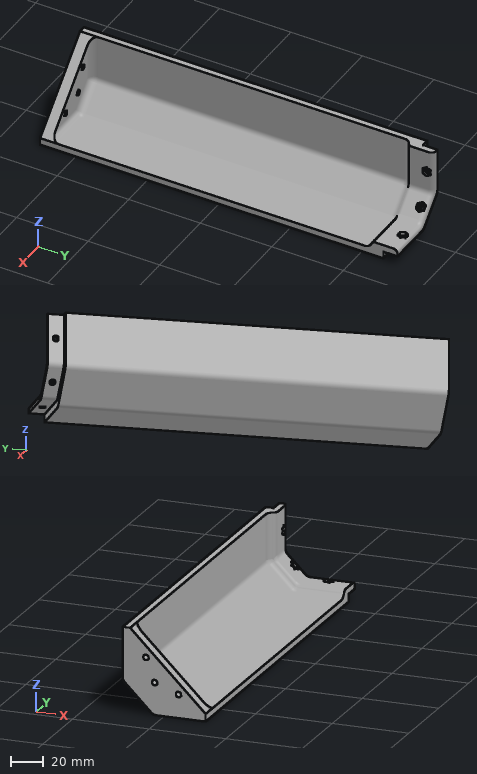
import cadquery as cq
import math

LENGTH = 250
SIDE = 54.2
CORNER_CUT = 20.0
WALL = 5.0
BEND_RADIUS = 5.0

PLATE = 8.0
PLATE_FILLET = 5.0

TONGUE = 10.0
JOGGLE_START = 227.0
JOGGLE_HOLLOW_RADIUS = 5.0
JOGGLE_CREST_RADIUS = 3.2
END_FILLET = 3.2

PLATE_HOLE = 3.5
PLATE_HOLE_CENTRE = 21.0
PLATE_HOLE_NEAR = 15.2
PLATE_HOLE_FAR = 36.5

SCREW_HOLE = 3.5
SCREW_POSITION = 39.0
NUT_WIDTH = 5.5
NUT_DEPTH = 2.5

EDGE_TOLERANCE = 1.0

SLOPE = math.sqrt(0.5)
STEPPED_FACE = 2 * WALL
RIM_SUM = SIDE + WALL
CLEAR = 2 * SIDE
SCREW_Y = LENGTH - TONGUE / 2


def wall_plane(x, z, inward_x, inward_z):
    """Plane along a wall: local x is Y, local y points into the trough from the outer face."""
    return cq.Plane(origin=(x, 0, z), xDir=(0, 1, 0), normal=(inward_z, 0, -inward_x))


WALL_PLANES = [
    wall_plane(SCREW_POSITION, 0, 0, 1),
    wall_plane(0, SCREW_POSITION, 1, 0),
    wall_plane(CORNER_CUT / 2, CORNER_CUT / 2, SLOPE, SLOPE),
]


def wall_depth(x, z):
    """Distance of a point from the nearest outer face."""
    return min(x, z, (x + z - CORNER_CUT) * SLOPE)


def inner_edges(edges, depth):
    """Edges of a chain that follows the inner faces lying at the given depth."""
    return edges.filter(lambda e: abs(wall_depth(e.Center().x, e.Center().z) - depth) < EDGE_TOLERANCE)


def outer_block(inset, y_start, y_end):
    """Square block with a sloped, rounded corner; its three outer faces are moved in by inset."""
    corner = CORNER_CUT + inset * (math.sqrt(2) - 1)
    return (
        cq.Workplane("XZ", origin=(0, y_start, 0))
        .moveTo(corner, inset)
        .lineTo(SIDE, inset)
        .lineTo(SIDE, SIDE)
        .lineTo(inset, SIDE)
        .lineTo(inset, corner)
        .close()
        .extrude(y_start - y_end)
        .edges("|Y")
        .filter(lambda e: e.Center().x + e.Center().z < SIDE)
        .fillet(BEND_RADIUS)
    )


def cavity_side(plane):
    """Everything above the inner face of one wall, including its S-shaped joggle."""
    hollow = JOGGLE_HOLLOW_RADIUS
    crest = JOGGLE_CREST_RADIUS
    angle = math.acos(1 - (STEPPED_FACE - WALL) / (hollow + crest))
    run = math.sin(angle)
    rise = 1 - math.cos(angle)
    half_run = math.sin(angle / 2)
    half_rise = 1 - math.cos(angle / 2)
    joggle_end = JOGGLE_START + (hollow + crest) * run
    hollow_middle = (JOGGLE_START + hollow * half_run, WALL + hollow * half_rise)
    turn = (JOGGLE_START + hollow * run, WALL + hollow * rise)
    crest_middle = (joggle_end - crest * half_run, STEPPED_FACE - crest * half_rise)
    return (
        cq.Workplane(plane)
        .moveTo(PLATE, WALL)
        .lineTo(JOGGLE_START, WALL)
        .threePointArc(hollow_middle, turn)
        .threePointArc(crest_middle, (joggle_end, STEPPED_FACE))
        .lineTo(LENGTH, STEPPED_FACE)
        .lineTo(LENGTH, CLEAR)
        .lineTo(PLATE, CLEAR)
        .close()
        .extrude(CLEAR, both=True)
    )


def is_bend(edge):
    """True for the edges along Y where the sloped inner face meets its neighbours."""
    centre = edge.Center()
    return edge.BoundingBox().ylen > EDGE_TOLERANCE and centre.x + centre.z < SIDE


def cavity():
    """Inside of the trough, with rounded bends and a rounded foot at the end plate."""
    side_a, side_b, side_slope = [cavity_side(plane) for plane in WALL_PLANES]
    body = side_a.intersect(side_b).intersect(side_slope)
    body = body.edges().filter(is_bend).fillet(BEND_RADIUS)
    return inner_edges(body.faces("<Y").edges(), WALL).fillet(PLATE_FILLET)


def rim_cut():
    """Everything beyond the sloped rim of the end plate and its foot."""
    return (
        cq.Workplane("XZ")
        .moveTo(RIM_SUM, 0)
        .lineTo(RIM_SUM, RIM_SUM)
        .lineTo(0, RIM_SUM)
        .close()
        .extrude(-(PLATE + PLATE_FILLET))
    )


def plate_holes():
    """Three through holes in the end plate."""
    centres = [
        (PLATE_HOLE_CENTRE, PLATE_HOLE_CENTRE),
        (PLATE_HOLE_NEAR, PLATE_HOLE_FAR),
        (PLATE_HOLE_FAR, PLATE_HOLE_NEAR),
    ]
    return cq.Workplane("XZ").pushPoints(centres).circle(PLATE_HOLE / 2).extrude(-PLATE)


def screw_hole(plane):
    """Hole through one wall of the tongue, with a hexagonal nut pocket on the inside."""
    inward = cq.Plane(origin=plane.toWorldCoords((SCREW_Y, 0, 0)), xDir=plane.xDir, normal=plane.yDir)
    hole = cq.Workplane(inward).circle(SCREW_HOLE / 2).extrude(STEPPED_FACE)
    pocket = (
        cq.Workplane(inward)
        .workplane(offset=STEPPED_FACE - NUT_DEPTH)
        .polygon(6, NUT_WIDTH, circumscribed=True)
        .extrude(2 * NUT_DEPTH)
    )
    return hole.union(pocket)


main_length = outer_block(0, 0, LENGTH - TONGUE)
tongue = outer_block(WALL, LENGTH - TONGUE, LENGTH)
result = main_length.union(tongue).cut(cavity()).cut(rim_cut())
result = inner_edges(result.faces(">Y").edges(), STEPPED_FACE).fillet(END_FILLET)
result = result.cut(plate_holes())
for plane in WALL_PLANES:
    result = result.cut(screw_hole(plane))